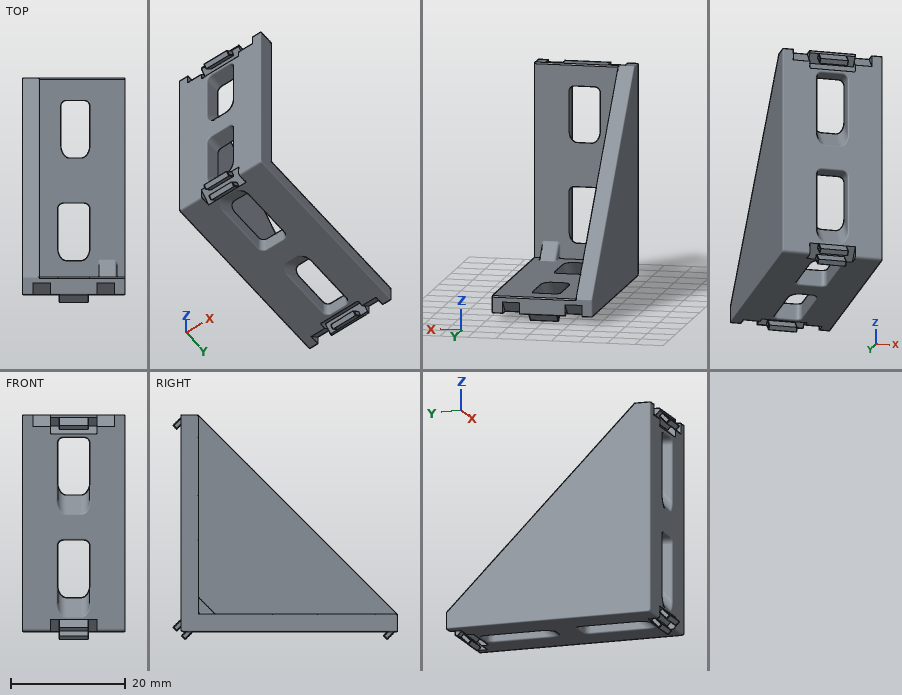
import cadquery as cq
import math

width = 18.0
arm_length = 38.0
plate_thickness = 3.1
wall_thickness = 3.0
end_land = 3.02
corner_radius = 0.5
edge_radius = 0.2
wall_rim_radius = 0.15
lip_chamfer = 0.25
wall_inner_x = wall_thickness - width / 2

slot_width = 5.6
outer_slot_end = 34.05
slot_pitch = 18.0
slot_length = 13.55
slot_slope_rise = 3.5
slot_far_radius = 1.0
slot_near_radius = 1.5
slot_rim_radius = 0.27
narrow_slot_width = 5.05
narrow_slot_shift = (slot_width - narrow_slot_width) / 2

tab_width = 5.15
tab_thickness = 0.94
tab_reach = 1.37
tab_root_depth = 0.4
tab_side_chamfer = 0.12
recess_width = 8.2
corner_recess_leg = 2.14
groove_edge = 37.53
groove_depth = 1.43
groove_floor_radius = 0.2

notch_leg = 2.05
notch_width = 3.0
notch_x = (recess_width + notch_width) / 2

rib_width = 3.1
rib_x = 6.0
rib_leg = 2.95
rib_edge_radius = 0.4
rib_root_radius = 0.25

overshoot = 1.0
margin = 0.1


def swap_arms(shape):
    """Mirror across the plane y = z, which carries one arm onto the other."""
    return shape.mirror(cq.Vector(0, 1, -1), cq.Vector(0, 0, 0))


def along(y, z):
    """Selector for edges that run in the given (y, z) direction."""
    return cq.selectors.ParallelDirSelector(cq.Vector(0, y, z))


def prism(outline, x_center, x_width):
    """Extrude a (y, z) outline along X, centred on x_center."""
    start = x_center - x_width / 2
    return cq.Workplane("YZ", origin=(start, 0, 0)).polyline(outline).close().extrude(x_width)


def make_body():
    outline = [
        (0, 0),
        (arm_length, 0),
        (arm_length, end_land),
        (end_land, arm_length),
        (0, arm_length),
    ]
    block = prism(outline, 0, width)
    block = block.edges("|X and <Y and <Z").fillet(corner_radius)
    block = block.edges("not (|X and (<Y and <Z))").fillet(edge_radius)

    far = 2 * arm_length
    opening = [
        (plate_thickness, plate_thickness),
        (far, plate_thickness),
        (plate_thickness, far),
    ]
    opening_width = width - wall_thickness + overshoot
    opening_x = wall_inner_x + opening_width / 2
    body = block.cut(prism(opening, opening_x, opening_width))

    wall_rim = cq.selectors.BoxSelector(
        (wall_inner_x - margin, 0, 0), (wall_inner_x + margin, arm_length, arm_length)
    )
    body = body.edges(along(1, -1)).edges(wall_rim).fillet(wall_rim_radius)

    beyond = arm_length + overshoot
    lip_outline = [
        (plate_thickness - lip_chamfer - overshoot, beyond),
        (plate_thickness + overshoot, arm_length - lip_chamfer - overshoot),
        (plate_thickness + overshoot, beyond),
    ]
    lip_cutter = prism(lip_outline, opening_x, opening_width)
    return body.cut(lip_cutter).cut(swap_arms(lip_cutter))


def slot_cutter(far_end, slot_x=0.0, cut_width=slot_width):
    """Slot through the standing plate: square to it, but with a sloped near end."""
    slope = slot_slope_rise / plate_thickness
    near_end = far_end - slot_length
    y_start = -overshoot
    y_end = plate_thickness + overshoot
    z_start = near_end + slope * y_start
    z_end = near_end + slope * y_end

    window_outline = [
        (y_start, z_start - overshoot),
        (y_end, z_start - overshoot),
        (y_end, far_end),
        (y_start, far_end),
    ]
    window = prism(window_outline, slot_x, cut_width).edges("|Y and >Z").fillet(slot_far_radius)

    ramp_outline = [
        (y_start, z_start),
        (y_end, z_end),
        (y_end, far_end + overshoot),
        (y_start, far_end + overshoot),
    ]
    ramp = prism(ramp_outline, slot_x, cut_width)
    ramp = ramp.edges(along(1, slope)).fillet(slot_near_radius)
    return window.intersect(ramp)


def cut_slots(body):
    inner_slot_end = outer_slot_end - slot_pitch
    standing_outer = slot_cutter(outer_slot_end)
    inner = slot_cutter(inner_slot_end)
    lying_outer = slot_cutter(outer_slot_end, narrow_slot_shift, narrow_slot_width)
    for cutter in (standing_outer, inner, swap_arms(lying_outer), swap_arms(inner)):
        body = body.cut(cutter)
    for outer_face in ("<Y", "<Z"):
        openings = body.faces(outer_face).val().innerWires()
        rims = [edge for opening in openings for edge in opening.Edges()]
        body = body.newObject(rims).fillet(slot_rim_radius)
    return body


def end_groove():
    """V groove across the standing plate near its end, with both flanks at 45 degrees."""
    apex = groove_edge - groove_depth
    outline = [
        (-overshoot, groove_edge + overshoot),
        (groove_depth, apex),
        (-overshoot, apex - groove_depth - overshoot),
    ]
    return prism(outline, 0, recess_width).edges(along(1, 1)).fillet(groove_floor_radius)


def end_notch(x_center):
    leg = notch_leg + overshoot
    outline = [
        (-overshoot, arm_length + overshoot),
        (leg, arm_length + overshoot),
        (-overshoot, arm_length - leg),
    ]
    return prism(outline, x_center, notch_width)


def corner_recess():
    leg = corner_recess_leg + overshoot
    outline = [(-overshoot, -overshoot), (leg, -overshoot), (-overshoot, leg)]
    return prism(outline, 0, recess_width)


def cut_recesses(body):
    for cutter in (end_groove(), end_notch(notch_x), end_notch(-notch_x)):
        body = body.cut(cutter).cut(swap_arms(cutter))
    return body.cut(corner_recess())


def tab(edge_height):
    """Tab square to the 45-degree flank that meets the plate face y = 0 at edge_height.

    Its upper face starts at that edge, and its tip reaches y = -tab_reach.
    """
    length = tab_reach * math.sqrt(2)
    return (
        cq.Workplane("XY")
        .box(tab_width, length + tab_root_depth, tab_thickness, centered=(True, False, False))
        .edges("|Y or (|Z and <Y)")
        .chamfer(tab_side_chamfer)
        .translate((0, -length, -tab_thickness))
        .rotate((0, 0, 0), (1, 0, 0), 45)
        .translate((0, 0, edge_height))
    )


def add_tabs(body):
    for edge_height in (groove_edge, corner_recess_leg):
        body = body.union(tab(edge_height)).union(swap_arms(tab(edge_height)))
    return body


def add_rib(body):
    inside = plate_thickness
    embedded = inside - overshoot
    tip = inside + rib_leg + overshoot
    outline = [(embedded, embedded), (tip, embedded), (embedded, tip)]
    rib = prism(outline, rib_x, rib_width).edges(along(1, -1)).fillet(rib_edge_radius)
    body = body.union(rib)

    half = rib_width / 2 + margin
    reach = inside + rib_leg + margin
    near_rib = cq.selectors.BoxSelector(
        (rib_x - half, inside - margin, inside - margin),
        (rib_x + half, reach, reach),
        boundingbox=True,
    )
    off_plates = cq.selectors.BoxSelector(
        (rib_x - half, inside + margin, inside + margin),
        (rib_x + half, reach, reach),
    )
    roots = body.edges(near_rib).edges(-off_plates)
    return roots.fillet(rib_root_radius)


body = make_body()
body = cut_slots(body)
body = cut_recesses(body)
body = add_tabs(body)
result = add_rib(body)